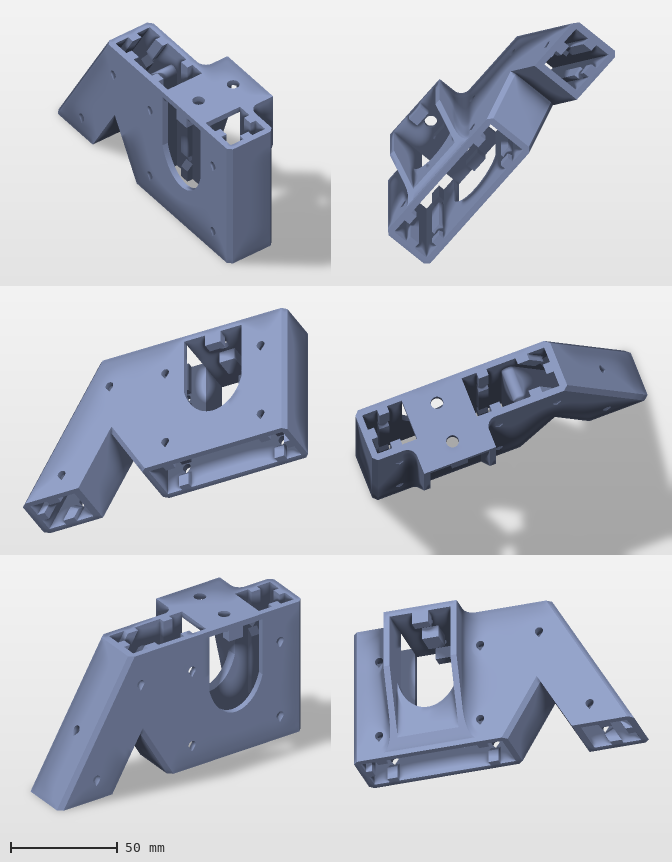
import cadquery as cq
import math


length = 138.2
depth = 40.0
height = 70.0

bore = 19.9
wall = 3.0
edge_chamfer = 2.1
rib_width = 5.0
rib_height = 3.0
socket = bore + 2 * wall
mid_y = socket / 2

span = 30.0
housing_left = length - 2 * wall - 2 * bore - span
bore_left = housing_left + wall
bore_right = length - wall
window_mid_x = bore_left + bore + span / 2
upright_axes = (bore_left + bore / 2, bore_right - bore / 2)

leg_angle = math.radians(60)
leg_run = height / math.tan(leg_angle)
leg_width_x = socket / math.sin(leg_angle)
notch_chamfer_x = edge_chamfer / math.sin(leg_angle)
crotch_radius = 3.0

ceiling = 66.9
window_sill = 22.1
arch_half_width = 16.0
arch_rise = 23.5
tab_width = 8.0
tab_bottom = 61.0
tab_gap = 10.0

lug_wall = 3.0
lug_width = span + 2 * lug_wall
lug_fillet = 5.0
lug_slope_foot_y = 25.0
lug_slope_top_z = 40.6
back_plate_y = 28.0

lug_hole_diameter = 6.0
lug_hole_y = (10.0, 30.0)
screw_diameter = 4.0
screw_tip_drop = 3.5
screw_spacing = 40.0
leg_screw_spacing = 50.0
upright_screw_z = 12.2
leg_screw_z = 10.8
leg_mid_z = leg_screw_z + leg_screw_spacing * math.sin(leg_angle) / 2
upright_screw_heights = (upright_screw_z, upright_screw_z + screw_spacing)
upright_screws = [(x, z) for x in upright_axes for z in upright_screw_heights]
leg_screw_heights = (leg_screw_z, 2 * leg_mid_z - leg_screw_z)

gap_above = 2.5
gap_below = 3.0


def box(x0, x1, y0, y1, z0, z1):
    """Block between opposite corners."""
    return cq.Workplane("XY").box(x1 - x0, y1 - y0, z1 - z0, centered=False).translate((x0, y0, z0))


def side_plate(points, y0, y1):
    """Closed XZ outline filled from y0 to y1."""
    return cq.Workplane("XZ", origin=(0, y0, 0)).polyline(points).close().extrude(y0 - y1)


def leg_x(z, offset=0.0):
    """X at height z on the plane lying `offset` inside the outer face of the leg."""
    return z / math.tan(leg_angle) + offset / math.sin(leg_angle)


def leg_slab(offset0, offset1, y0, y1):
    """Full-height leaning slab between two offsets from the outer face of the leg."""
    points = [
        (leg_x(0, offset0), 0),
        (leg_x(0, offset1), 0),
        (leg_x(height, offset1), height),
        (leg_x(height, offset0), height),
    ]
    return side_plate(points, y0, y1)


def notch_bevel(y, inward):
    """Prism along the notch flank that bevels its edge at y, stopping at the leg."""
    corners = [
        (housing_left, y),
        (housing_left + notch_chamfer_x, y),
        (housing_left, y + inward * edge_chamfer),
    ]
    foot = cq.Workplane("XY").polyline(corners).close()
    path = cq.Workplane("XZ").moveTo(housing_left, 0).lineTo(housing_left - leg_run, height)
    return foot.sweep(path).cut(leg_slab(0, socket, 0, socket))


def outer_shell():
    """Leg and housing outline with the notch between them and chamfered edges."""
    apex_x = (leg_width_x + housing_left) / 2
    apex_z = (housing_left - leg_width_x) / 2 * math.tan(leg_angle)
    outline = [
        (0, 0),
        (leg_width_x, 0),
        (apex_x, apex_z),
        (housing_left, 0),
        (length, 0),
        (length, height),
        (leg_run, height),
    ]
    body = side_plate(outline, 0, socket)
    edge_points = []
    for y in (0, socket):
        edge_points.append((length, y, height / 2))
        edge_points.append((leg_run / 2, y, height / 2))
    for point in edge_points:
        body = body.edges(cq.NearestToPointSelector(point)).chamfer(edge_chamfer)
    for y, inward in ((0, 1), (socket, -1)):
        body = body.cut(notch_bevel(y, inward))
    return body


def lug():
    """Sloped block on the back, blended into the housing by vertical fillets."""
    x0 = window_mid_x - lug_width / 2
    x1 = window_mid_x + lug_width / 2
    blend_y = socket + lug_fillet
    plan = (
        cq.Workplane("XY")
        .moveTo(x0 - lug_fillet, mid_y)
        .lineTo(x0 - lug_fillet, socket)
        .radiusArc((x0, blend_y), -lug_fillet)
        .lineTo(x0, depth)
        .lineTo(x1, depth)
        .lineTo(x1, blend_y)
        .radiusArc((x1 + lug_fillet, socket), -lug_fillet)
        .lineTo(x1 + lug_fillet, mid_y)
        .close()
        .extrude(height)
    )
    side = [
        (mid_y, 0),
        (lug_slope_foot_y, 0),
        (depth, lug_slope_top_z),
        (depth, height),
        (mid_y, height),
    ]
    profile = cq.Workplane("YZ").polyline(side).close().extrude(length)
    return plan.intersect(profile)


def sockets():
    """Ribbed hollow of the upright sockets and the leg, open at base and top."""
    upright = box(bore_left, bore_right, wall, wall + bore, 0, height)
    ceiling_block = box(window_mid_x - span / 2, window_mid_x + span / 2, 0, socket, ceiling, height)
    upright = upright.cut(ceiling_block)
    leg = leg_slab(wall, wall + bore, wall, wall + bore)
    hollow = upright.union(leg)
    crotch_z = (bore_left - leg_x(0, wall + bore)) * math.tan(leg_angle)
    crotch = cq.NearestToPointSelector((bore_left, mid_y, crotch_z))
    hollow = hollow.edges(crotch).fillet(crotch_radius)

    rib_start = mid_y - rib_width / 2
    rib_end = mid_y + rib_width / 2
    hollow = hollow.cut(box(bore_right - rib_height, bore_right, rib_start, rib_end, 0, height))
    hollow = hollow.cut(leg_slab(wall, wall + rib_height, rib_start, rib_end))
    for y in (wall, wall + bore - rib_height):
        for x in upright_axes:
            hollow = hollow.cut(box(x - rib_width / 2, x + rib_width / 2, y, y + rib_height, 0, height))
        hollow = hollow.cut(leg_slab(rib_start, rib_end, y, y + rib_height))
    return hollow


def rib_gap():
    """Gap across a rib rising in +Y from a wall at Y = 0: flat on top, 45 degree ramp below."""
    profile = [
        (0, gap_above),
        (rib_height, gap_above),
        (rib_height, -gap_below - rib_height),
        (0, -gap_below),
    ]
    return cq.Workplane("YZ").polyline(profile).close().extrude(rib_width / 2, both=True)


def rib_gaps():
    """Gaps that interrupt each rib where a screw crosses it."""
    lean = 90 - math.degrees(leg_angle)
    front = rib_gap().translate((0, wall, 0))
    pair = front.union(front.mirror("XZ", (0, mid_y, 0)))
    leg_pair = pair.rotate((0, 0, 0), (0, 1, 0), lean)
    gaps = (
        rib_gap()
        .rotate((0, 0, 0), (0, 0, 1), -90)
        .translate((wall, 0, 0))
        .rotate((0, 0, 0), (0, 1, 0), lean)
        .translate((leg_x(leg_mid_z), mid_y, leg_mid_z))
    )
    for x, z in upright_screws:
        gaps = gaps.union(pair.translate((x, 0, z)))
    for z in leg_screw_heights:
        gaps = gaps.union(leg_pair.translate((leg_x(z, socket / 2), 0, z)))
    return gaps


def window():
    """Arched opening through front and back, widened to a plain slot inside the lug."""
    x0 = window_mid_x - span / 2
    x1 = window_mid_x + span / 2
    arch_z = window_sill + arch_rise
    arch = (
        cq.Workplane("XZ", origin=(window_mid_x, 0, arch_z))
        .ellipse(arch_half_width, arch_rise)
        .extrude(-depth)
        .intersect(box(x0, x1, 0, depth, 0, arch_z))
    )
    upper = box(x0, x1, 0, depth, arch_z, ceiling)
    lug_slot = box(x0, x1, back_plate_y, depth, 0, ceiling)
    return arch.union(upper).union(lug_slot)


def teardrop(plane, reach):
    """Round hole with a tangent-sided point on its lower side."""
    radius = screw_diameter / 2
    flank_z = radius**2 / screw_tip_drop
    flank_x = math.sqrt(radius**2 - flank_z**2)
    return (
        plane.moveTo(-flank_x, -flank_z)
        .threePointArc((0, radius), (flank_x, -flank_z))
        .lineTo(0, -screw_tip_drop)
        .close()
        .extrude(reach)
    )


def screw_holes():
    """Screw holes across every socket and one through the outer face of the leg."""
    face = cq.Plane(
        origin=(leg_x(leg_mid_z), mid_y, leg_mid_z),
        xDir=(0, 1, 0),
        normal=(math.sin(leg_angle), 0, -math.cos(leg_angle)),
    )
    holes = teardrop(cq.Workplane(face), wall + rib_height)
    spots = upright_screws + [(leg_x(z, socket / 2), z) for z in leg_screw_heights]
    for x, z in spots:
        holes = holes.union(teardrop(cq.Workplane("XZ", origin=(x, 0, z)), -socket))
    return holes


def tab():
    """Key running back under the window ceiling, interrupted around each lug hole."""
    x0 = window_mid_x - tab_width / 2
    x1 = window_mid_x + tab_width / 2
    key = box(x0, x1, 0, depth, tab_bottom, ceiling)
    for y in lug_hole_y:
        key = key.cut(box(x0, x1, y - tab_gap / 2, y + tab_gap / 2, tab_bottom, ceiling))
    return key


def lug_holes():
    """Plain round holes down through the ceiling into the window."""
    return (
        cq.Workplane("XY", origin=(window_mid_x, 0, ceiling))
        .pushPoints([(0, y) for y in lug_hole_y])
        .circle(lug_hole_diameter / 2)
        .extrude(height - ceiling)
    )


result = outer_shell().union(lug()).cut(sockets()).cut(window()).union(tab())
result = result.cut(lug_holes()).cut(rib_gaps()).cut(screw_holes())